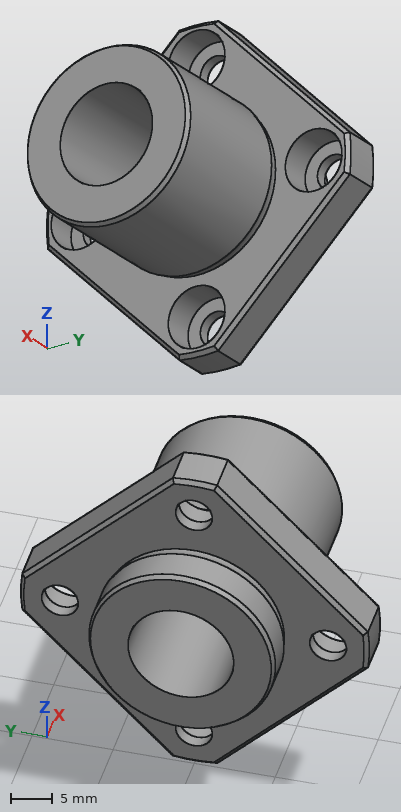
import cadquery as cq

total_length = 32.0
body_diameter = 23.0
bore_diameter = 13.0
end_chamfer_length = 0.65
end_chamfer_height = 0.35

flange_diameter = 42.95
flange_side = 34.0
flange_start = 6.0
flange_thickness = 6.0
flange_chamfer = 0.5

groove_width = 1.4
groove_depth = 0.35

hole_diameter = 4.5
hole_circle_diameter = 33.05
hole_count = 4
counterbore_diameter = 8.0
counterbore_depth = 4.4

flange_end = flange_start + flange_thickness
body_radius = body_diameter / 2


def bushing_cylinder():
    """Turned sleeve, chamfered at both ends."""
    end_radius = body_radius - end_chamfer_height
    profile = (
        cq.Workplane("XY")
        .lineTo(0, end_radius)
        .lineTo(end_chamfer_length, body_radius)
        .lineTo(total_length - end_chamfer_length, body_radius)
        .lineTo(total_length, end_radius)
        .lineTo(total_length, 0)
        .close()
    )
    return profile.revolve(360, (0, 0, 0), (1, 0, 0))


def relief_groove(flange_face, direction):
    """Ring cut that is deepest at the flange and curves up to the sleeve surface."""
    floor_radius = body_radius - groove_depth
    groove_edge = flange_face + direction * groove_width
    arc_radius = (groove_width**2 + groove_depth**2) / (2 * groove_depth)
    profile = (
        cq.Workplane("XY")
        .moveTo(flange_face, body_radius)
        .lineTo(flange_face, floor_radius)
        .radiusArc((groove_edge, body_radius), direction * -arc_radius)
        .close()
    )
    return profile.revolve(360, (0, 0, 0), (1, 0, 0))


def flange():
    """Square plate on a corner, trimmed by a cylinder and chamfered on both faces."""
    plate_plane = cq.Workplane("YZ", origin=(flange_start, 0, 0))
    square = (
        plate_plane.transformed(rotate=(0, 0, 45))
        .rect(flange_side, flange_side)
        .extrude(flange_thickness)
    )
    disc = plate_plane.circle(flange_diameter / 2).extrude(flange_thickness)
    return square.intersect(disc).faces("<X or >X").chamfer(flange_chamfer)


def mounting_holes():
    """Through holes at the flange corners, counterbored from the right."""
    def hole_ring(x_start, diameter, depth):
        return (
            cq.Workplane("YZ", origin=(x_start, 0, 0))
            .polarArray(hole_circle_diameter / 2, 0, 360, hole_count)
            .circle(diameter / 2)
            .extrude(depth)
        )

    through_holes = hole_ring(flange_start, hole_diameter, flange_thickness)
    counterbores = hole_ring(flange_end - counterbore_depth, counterbore_diameter, counterbore_depth)
    return through_holes.union(counterbores)


bore = cq.Workplane("YZ").circle(bore_diameter / 2).extrude(total_length)
sleeve = (
    bushing_cylinder()
    .cut(relief_groove(flange_start, -1))
    .cut(relief_groove(flange_end, 1))
)
result = sleeve.union(flange().cut(mounting_holes())).cut(bore)